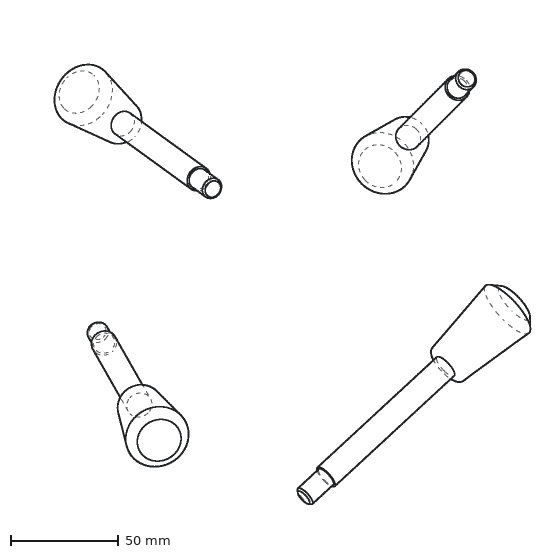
import cadquery as cq

total_length = 141.0

knob_length = 46.0
knob_diameter = 30.0
knob_neck_diameter = 20.9
knob_face_diameter = 20.9
knob_bevel_length = 4.5
knob_neck_round = 2.0

rod_diameter = 12.0
tip_diameter = 10.0
tip_length = 15.0
tip_chamfer = 1.0


def make_knob():
    """Cone narrowing toward the rod, bevelled at the face and rounded at the neck."""
    profile = (
        cq.Workplane("XY")
        .lineTo(0, knob_face_diameter / 2)
        .lineTo(knob_bevel_length, knob_diameter / 2)
        .lineTo(knob_length, knob_neck_diameter / 2)
        .lineTo(knob_length, 0)
        .close()
    )
    knob = profile.revolve(360, (0, 0, 0), (1, 0, 0))
    return knob.faces(">X").edges().fillet(knob_neck_round)


def make_rod():
    """Plain rod from the knob to the shoulder, then a thinner chamfered tip."""
    shoulder_x = total_length - tip_length
    shaft = (
        cq.Workplane("YZ", origin=(knob_length, 0, 0))
        .circle(rod_diameter / 2)
        .extrude(shoulder_x - knob_length)
    )
    tip = (
        cq.Workplane("YZ", origin=(shoulder_x, 0, 0))
        .circle(tip_diameter / 2)
        .extrude(tip_length)
        .faces(">X")
        .edges()
        .chamfer(tip_chamfer)
    )
    return shaft.union(tip)


result = make_knob().union(make_rod())